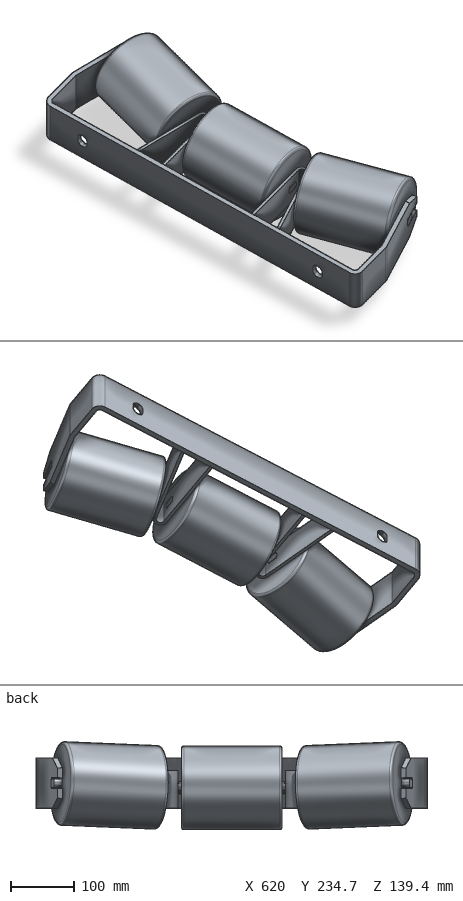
import cadquery as cq
import math

SIDES = (-1, 1)

SWEEP = 15.0
TILT = 2.3

FRAME_LENGTH = 620.0
STRIP_HEIGHT = 80.0
FRAME_THICKNESS = 8.0
CORNER_INNER_RADIUS = 7.0
CORNER_OUTER_RADIUS = CORNER_INNER_RADIUS + FRAME_THICKNESS
KINK_Y = 78.0
ARM_LENGTH = 131.0
TIP_TAPER_LENGTH = 31.0
TIP_HEIGHT = 47.0
SHAFT_FROM_TIP = 30.5
SLOT_WIDTH = 17.0
MOUNT_SLOT_WIDTH = 18.0
MOUNT_SLOT_HEIGHT = 26.0
MOUNT_SLOT_SPACING = 464.5

BRACKET_HEIGHT = 60.0
BRACKET_THICKNESS = 5.0
BRACKET_FACE_X = 85.5
BRACKET_BEND_RADIUS = 12.0
BRACKET_TOP_Y = 151.0

ROLLER_DIAMETER = 132.5
ROLLER_LENGTH = 160.0
ROLLER_EDGE_RADIUS = 4.5
SHAFT_DIAMETER = 20.0
SHAFT_FLATS = 13.5
FLAT_LEAD = 2.0
MIDDLE_ROLLER_Y = 124.5
MIDDLE_ROLLER_Z = -7.5
ARM_TO_WING_CENTRE = 93.0
WING_TO_BRACKET = 85.0

SIN_SWEEP = math.sin(math.radians(SWEEP))
COS_SWEEP = math.cos(math.radians(SWEEP))
HALF_LENGTH = FRAME_LENGTH / 2
SHAFT_RADIUS = SHAFT_DIAMETER / 2

SHAFT_ALONG_ARM = ARM_LENGTH - SHAFT_FROM_TIP
WING_X = HALF_LENGTH - SHAFT_ALONG_ARM * SIN_SWEEP - ARM_TO_WING_CENTRE * COS_SWEEP
WING_Y = KINK_Y + SHAFT_ALONG_ARM * COS_SWEEP - ARM_TO_WING_CENTRE * SIN_SWEEP
WING_Z = -(ARM_TO_WING_CENTRE - FRAME_THICKNESS / 2) * math.sin(math.radians(TILT))

MIDDLE_REACH = BRACKET_FACE_X + BRACKET_THICKNESS
WING_INNER_REACH = WING_TO_BRACKET + BRACKET_THICKNESS
WING_OUTER_REACH = ARM_TO_WING_CENTRE


def place_middle(body):
    """Move a body built about the origin along X to the middle roller."""
    return body.translate((0, MIDDLE_ROLLER_Y, MIDDLE_ROLLER_Z))


def place_wing(body, side):
    """Turn a body built outward along +X into the wing roller on one side."""
    if side < 0:
        body = body.mirror("YZ")
    body = body.rotate((0, 0, 0), (0, 1, 0), -side * TILT)
    body = body.rotate((0, 0, 0), (0, 0, 1), side * SWEEP)
    return body.translate((side * WING_X, WING_Y, WING_Z))


def rod(diameter, start_x, end_x):
    """Round bar along X."""
    return cq.Workplane("YZ").workplane(offset=start_x).circle(diameter / 2).extrude(end_x - start_x)


def flatted_rod(start_x, end_x):
    """Shaft end along X with a flat above and a flat below."""
    length = end_x - start_x
    between_flats = cq.Workplane("XY").box(length, SHAFT_DIAMETER, SHAFT_FLATS)
    between_flats = between_flats.translate((start_x + length / 2, 0, 0))
    return rod(SHAFT_DIAMETER, start_x, end_x).intersect(between_flats)


def make_roller(inner_reach, inner_support, outer_reach, outer_support):
    """Roller about the origin along X; each shaft end has flats where it enters its support."""
    half = ROLLER_LENGTH / 2
    inner_flat = -(inner_reach - inner_support - FLAT_LEAD)
    outer_flat = outer_reach - outer_support - FLAT_LEAD
    roller = rod(ROLLER_DIAMETER, -half, half).edges().fillet(ROLLER_EDGE_RADIUS)
    roller = roller.union(rod(SHAFT_DIAMETER, inner_flat, outer_flat))
    roller = roller.union(flatted_rod(-inner_reach, inner_flat))
    return roller.union(flatted_rod(outer_flat, outer_reach))


def round_upright_edges(body, corners, radius):
    """Fillet the upright edges that stand at the given XY corners."""
    for x, y in corners:
        body = body.edges("|Z").edges(cq.selectors.NearestToPointSelector((x, y, 0))).fillet(radius)
    return body


def both_sides(x, y):
    return [(side * x, y) for side in SIDES]


def bent_strip():
    """Strip with a flat base, two upright sides and two arms leaning inward."""
    inner_x = HALF_LENGTH - FRAME_THICKNESS
    inner_kink_y = KINK_Y - FRAME_THICKNESS * math.tan(math.radians(SWEEP / 2))
    tip_x = HALF_LENGTH - ARM_LENGTH * SIN_SWEEP
    tip_y = KINK_Y + ARM_LENGTH * COS_SWEEP
    right_half = [
        (HALF_LENGTH, 0),
        (HALF_LENGTH, KINK_Y),
        (tip_x, tip_y),
        (tip_x - FRAME_THICKNESS * COS_SWEEP, tip_y - FRAME_THICKNESS * SIN_SWEEP),
        (inner_x, inner_kink_y),
        (inner_x, FRAME_THICKNESS),
    ]
    left_half = [(-x, y) for x, y in reversed(right_half)]
    strip = cq.Workplane("XY").polyline(right_half + left_half).close().extrude(STRIP_HEIGHT / 2, both=True)
    outer_corners = both_sides(HALF_LENGTH, 0) + both_sides(HALF_LENGTH, KINK_Y)
    inner_corners = both_sides(inner_x, FRAME_THICKNESS) + both_sides(inner_x, inner_kink_y)
    strip = round_upright_edges(strip, outer_corners, CORNER_OUTER_RADIUS)
    return round_upright_edges(strip, inner_corners, CORNER_INNER_RADIUS)


def tip_taper(direction):
    """Cutter that removes the upper (+1) or lower (-1) corner of both arm tips."""
    tip_y = KINK_Y + ARM_LENGTH * COS_SWEEP
    taper_y = tip_y - TIP_TAPER_LENGTH * COS_SWEEP
    corner = [
        (taper_y, direction * STRIP_HEIGHT / 2),
        (tip_y, direction * TIP_HEIGHT / 2),
        (tip_y, direction * STRIP_HEIGHT / 2),
    ]
    return cq.Workplane("YZ").polyline(corner).close().extrude(HALF_LENGTH, both=True)


def shaft_slot():
    """Oversize cutter for the open slot of an arm: straight sides and a floor that follows the shaft."""
    start_x = ARM_TO_WING_CENTRE - 2 * FRAME_THICKNESS
    length = 3 * FRAME_THICKNESS
    depth = SHAFT_RADIUS + 2 * SHAFT_FROM_TIP
    sides = cq.Workplane("XY").box(length, depth, SLOT_WIDTH, centered=(False, False, True))
    sides = sides.translate((start_x, -SHAFT_RADIUS, 0))
    opening = cq.Workplane("XY").box(length, depth, SHAFT_DIAMETER, centered=(False, False, True))
    opening = opening.translate((start_x, 0, 0))
    return rod(SHAFT_DIAMETER, start_x, start_x + length).union(opening).intersect(sides)


def make_frame():
    frame = bent_strip()
    for direction in (-1, 1):
        frame = frame.cut(tip_taper(direction))
    for side in SIDES:
        frame = frame.cut(place_wing(shaft_slot(), side))
    mount_slots = (
        cq.Workplane("XZ")
        .rarray(MOUNT_SLOT_SPACING, 6, 2, 1)
        .slot2D(MOUNT_SLOT_HEIGHT, MOUNT_SLOT_WIDTH, 90)
        .extrude(-FRAME_THICKNESS)
    )
    return frame.cut(mount_slots)


def make_bracket(side):
    """Folded strip with one upright leg, one leg square to the wing shaft and a round fold between them."""
    fold_x = BRACKET_FACE_X + BRACKET_BEND_RADIUS
    fold_y = BRACKET_TOP_Y - BRACKET_BEND_RADIUS
    half_turn = math.radians((180 + SWEEP) / 2)

    def on_fold(radius, angle):
        return (side * (fold_x + radius * math.cos(angle)), fold_y + radius * math.sin(angle))

    def foot_of_sloped_leg(radius):
        x = fold_x + radius * COS_SWEEP
        drop = fold_y + radius * SIN_SWEEP - FRAME_THICKNESS
        return (side * (x + drop * SIN_SWEEP / COS_SWEEP), FRAME_THICKNESS)

    outer = BRACKET_BEND_RADIUS
    inner = outer - BRACKET_THICKNESS
    sloped_end = math.radians(SWEEP)
    bracket = (
        cq.Workplane("XY")
        .moveTo(side * BRACKET_FACE_X, FRAME_THICKNESS)
        .lineTo(*on_fold(outer, math.pi))
        .threePointArc(on_fold(outer, half_turn), on_fold(outer, sloped_end))
        .lineTo(*foot_of_sloped_leg(outer))
        .lineTo(*foot_of_sloped_leg(inner))
        .lineTo(*on_fold(inner, sloped_end))
        .threePointArc(on_fold(inner, half_turn), on_fold(inner, math.pi))
        .lineTo(side * (BRACKET_FACE_X + BRACKET_THICKNESS), FRAME_THICKNESS)
        .close()
        .extrude(BRACKET_HEIGHT)
        .translate((0, 0, -STRIP_HEIGHT / 2))
    )
    middle_end = flatted_rod(-MIDDLE_REACH, MIDDLE_REACH)
    wing_end = flatted_rod(-WING_INNER_REACH - FLAT_LEAD, 0)
    return bracket.cut(place_middle(middle_end)).cut(place_wing(wing_end, side))


frame = make_frame()
brackets = [make_bracket(side) for side in SIDES]
middle_roller = place_middle(make_roller(MIDDLE_REACH, BRACKET_THICKNESS, MIDDLE_REACH, BRACKET_THICKNESS))
wing_roller = make_roller(WING_INNER_REACH, BRACKET_THICKNESS, WING_OUTER_REACH, FRAME_THICKNESS)
wing_rollers = [place_wing(wing_roller, side) for side in SIDES]

result = cq.Compound.makeCompound([
    frame.val(),
    *[bracket.val() for bracket in brackets],
    middle_roller.val(),
    *[roller.val() for roller in wing_rollers],
])